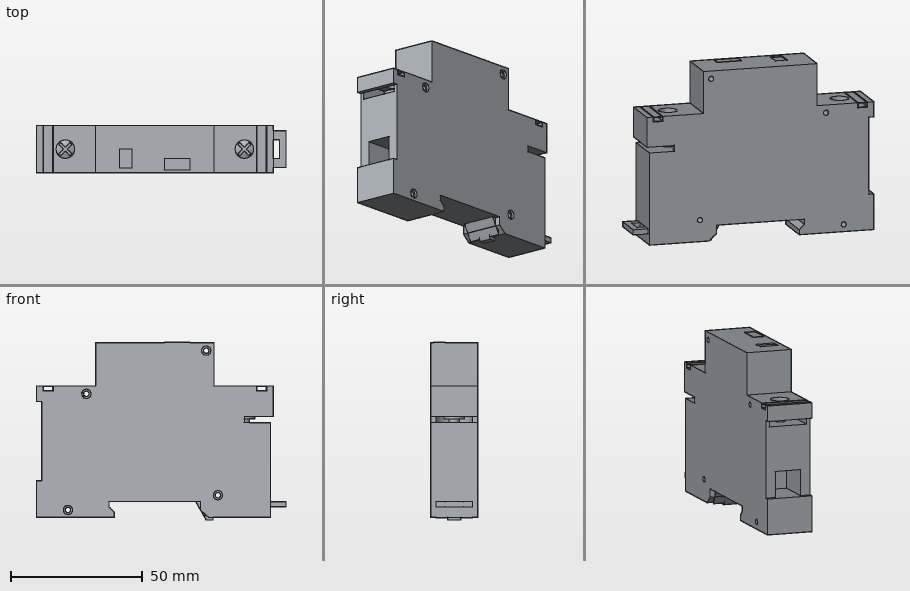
import cadquery as cq


WIDTH = 18.0
SHOULDER_LENGTH = 90.0
BASE_LENGTH = 89.0
SHOULDER_HEIGHT = 50.0
TOP_HEIGHT = 66.4
BLOCK_START = 22.5
BLOCK_END = SHOULDER_LENGTH - BLOCK_START
FACE_SETBACK = 2.0
OVERHANG_HEIGHT = 44.0
FOOT_HEIGHT = 13.9

RAIL_DEPTH = 6.0
RAIL_LEFT = 27.6
RAIL_RIGHT = 62.3
HOOK_REACH = 2.0
HOOK_LIP = 2.0
HOOK_TOP = 4.0
RELIEF_END = 65.5
RELIEF_HEIGHT = 2.75

LEFT_SCREW_X = 11.0
RIGHT_SCREW_X = SHOULDER_LENGTH - LEFT_SCREW_X
SCREW_HOLE_DIAMETER = 7.0
LEFT_CAVITY_FLOOR = 41.5
LEFT_CAVITY_ROOF = 47.5
LEFT_CAVITY_END = 17.8
LEFT_CAVITY_WIDTH = 15.2
NOTCH_FLOOR = 36.0
NOTCH_ROOF = 38.3
RIGHT_CAVITY_DIAMETER = 14.0
RIGHT_CAVITY_ROOF = 46.5
CABLE_POCKET_SIDE = 10.1
CABLE_POCKET_DEPTH = 15.0

HEAD_DIAMETER = 8.0
HEAD_SPHERE_RADIUS = 7.0
SHANK_DIAMETER = 4.0
SHANK_LENGTH = 1.4
HEAD_HEIGHT = 3.0
DRIVE_LENGTH = 6.0
DRIVE_WIDTH = 1.0
DRIVE_DEPTH = 1.5
DRIVE_ANGLES = (45, 135)
SCREW_SEATS = [(LEFT_SCREW_X, LEFT_CAVITY_FLOOR), (RIGHT_SCREW_X, NOTCH_FLOOR)]

TUNNEL_INSET = 2.5
MOUTH_WIDTH = 4.0
MOUTH_HEIGHT = 2.0
TUNNEL_WALL = 0.3
REBATE_DEPTH = 0.1
GROOVE_DEPTH = 0.1
TUNNEL_STARTS = (TUNNEL_INSET, SHOULDER_LENGTH - TUNNEL_INSET - MOUTH_WIDTH)

RIVET_DIAMETER = 2.0
RIVET_SEAT_DIAMETER = 3.5
RIVET_SEAT_DEPTH = 1.0
RIVET_POINTS = [(11.95, 2.8), (69.0, 8.4), (19.0, 47.0), (64.5, 63.4)]

WINDOW_START = 31.6
WINDOW_LENGTH = 4.7
WINDOW_WIDTH = 7.2
WINDOW_CENTRE_Y = -3.5
WINDOW_DEPTH = 0.5
INDICATOR_START = 48.8
INDICATOR_LENGTH = 9.7
INDICATOR_WIDTH = 4.4
INDICATOR_CENTRE_Y = -5.7
INDICATOR_HEIGHT = 0.2

CLIP_WIDTH = 14.0
CLIP_START = 60.5
CLIP_END = 94.9
CLIP_THICKNESS = 2.0
CLIP_EYE_WIDTH = 7.0
CLIP_EYE_END = 92.3
TOOTH_WIDTH = 5.0
TOOTH_END = 67.2
TOOTH_BOTTOM = -1.0
TOOTH_TIP = 64.5
WEDGE_BOTTOM = -0.3


def box(x0, x1, y_width, z0, z1, y_centre=0.0):
    """Box from x0 to x1 and z0 to z1, centred on y_centre."""
    block = cq.Workplane("XY").box(x1 - x0, y_width, z1 - z0, centered=(False, True, False))
    return block.translate((x0, y_centre, z0))


def cylinder(x, diameter, z0, z1):
    """Upright cylinder on the mid-plane."""
    return cq.Workplane("XY", origin=(x, 0, z0)).circle(diameter / 2).extrude(z1 - z0)


def prism(points, y_width):
    """XZ outline extruded symmetrically about the mid-plane."""
    return cq.Workplane("XZ").polyline(points).close().extrude(y_width / 2, both=True)


def make_housing_blank():
    """Side profile with the rail slot, the cable notch and the raised middle block."""
    return prism(
        [
            (0, 0),
            (RAIL_LEFT + HOOK_REACH, 0),
            (RAIL_LEFT + HOOK_REACH, HOOK_LIP),
            (RAIL_LEFT, HOOK_TOP),
            (RAIL_LEFT, RAIL_DEPTH),
            (RAIL_RIGHT, RAIL_DEPTH),
            (RAIL_RIGHT, RELIEF_HEIGHT),
            (RELIEF_END, 0),
            (BASE_LENGTH, 0),
            (BASE_LENGTH, NOTCH_FLOOR),
            (RIGHT_SCREW_X, NOTCH_FLOOR),
            (RIGHT_SCREW_X, NOTCH_ROOF),
            (SHOULDER_LENGTH, NOTCH_ROOF),
            (SHOULDER_LENGTH, SHOULDER_HEIGHT),
            (BLOCK_END, SHOULDER_HEIGHT),
            (BLOCK_END, TOP_HEIGHT),
            (BLOCK_START, TOP_HEIGHT),
            (BLOCK_START, SHOULDER_HEIGHT),
            (0, SHOULDER_HEIGHT),
            (0, OVERHANG_HEIGHT),
            (FACE_SETBACK, OVERHANG_HEIGHT),
            (FACE_SETBACK, FOOT_HEIGHT),
            (0, FOOT_HEIGHT),
        ],
        WIDTH,
    )


def cut_terminals(housing):
    """Screw holes, the cavities they open into and the cable pocket below the left one."""
    housing = housing.cut(
        box(FACE_SETBACK, LEFT_CAVITY_END, LEFT_CAVITY_WIDTH, LEFT_CAVITY_FLOOR, LEFT_CAVITY_ROOF)
    )
    housing = housing.cut(cylinder(RIGHT_SCREW_X, RIGHT_CAVITY_DIAMETER, NOTCH_FLOOR, RIGHT_CAVITY_ROOF))
    housing = housing.cut(cylinder(LEFT_SCREW_X, SCREW_HOLE_DIAMETER, LEFT_CAVITY_ROOF, SHOULDER_HEIGHT))
    housing = housing.cut(cylinder(RIGHT_SCREW_X, SCREW_HOLE_DIAMETER, RIGHT_CAVITY_ROOF, SHOULDER_HEIGHT))
    pocket = box(
        FACE_SETBACK,
        FACE_SETBACK + CABLE_POCKET_DEPTH,
        CABLE_POCKET_SIDE,
        FOOT_HEIGHT,
        FOOT_HEIGHT + CABLE_POCKET_SIDE,
    )
    return housing.cut(pocket)


def cut_label_tunnel(housing, start):
    """Thin-roofed tunnel across the shoulder, with edge grooves and rebated mouths."""
    end = start + MOUTH_WIDTH
    floor = SHOULDER_HEIGHT - MOUTH_HEIGHT
    bore = box(
        start + TUNNEL_WALL, end - TUNNEL_WALL, WIDTH, floor + TUNNEL_WALL, SHOULDER_HEIGHT - TUNNEL_WALL
    )
    housing = housing.cut(bore)
    for edge in (start, end - TUNNEL_WALL):
        groove = box(edge, edge + TUNNEL_WALL, WIDTH, SHOULDER_HEIGHT - GROOVE_DEPTH, SHOULDER_HEIGHT)
        housing = housing.cut(groove)
    for side in (-1, 1):
        rebate = box(
            start, end, REBATE_DEPTH, floor, SHOULDER_HEIGHT, side * (WIDTH - REBATE_DEPTH) / 2
        )
        housing = housing.cut(rebate)
    return housing


def cut_rivet_holes(housing):
    """Through holes with a counterbore on the -Y side."""
    front = cq.Workplane("XZ", origin=(0, -WIDTH / 2, 0)).pushPoints(RIVET_POINTS)
    housing = housing.cut(front.circle(RIVET_DIAMETER / 2).extrude(-WIDTH))
    return housing.cut(front.circle(RIVET_SEAT_DIAMETER / 2).extrude(-RIVET_SEAT_DEPTH))


def make_clip_blank():
    """Sliding plate with a sloped wedge and narrow tooth at one end, before its eye is cut."""
    plate_bottom = RAIL_DEPTH - CLIP_THICKNESS
    slope = (TOOTH_TIP - CLIP_START) / (RAIL_DEPTH - TOOTH_BOTTOM)
    wedge_end = CLIP_START + slope * (RAIL_DEPTH - WEDGE_BOTTOM)
    plate_start = CLIP_START + slope * CLIP_THICKNESS
    plate = prism(
        [
            (CLIP_START, RAIL_DEPTH),
            (plate_start, plate_bottom),
            (CLIP_END, plate_bottom),
            (CLIP_END, RAIL_DEPTH),
        ],
        CLIP_WIDTH,
    )
    wedge = prism(
        [(CLIP_START, RAIL_DEPTH), (wedge_end, WEDGE_BOTTOM), (wedge_end, RAIL_DEPTH)], CLIP_WIDTH
    )
    tooth = prism(
        [
            (CLIP_START, RAIL_DEPTH),
            (TOOTH_TIP, TOOTH_BOTTOM),
            (TOOTH_END, TOOTH_BOTTOM),
            (TOOTH_END, RAIL_DEPTH),
        ],
        TOOTH_WIDTH,
    )
    return plate.union(wedge).union(tooth)


def make_screw(x, seat):
    """Domed cross-drive screw standing on its short shank."""
    head_bottom = seat + SHANK_LENGTH
    apex = head_bottom + HEAD_HEIGHT
    head = cylinder(x, HEAD_DIAMETER, head_bottom, apex)
    dome = cq.Workplane("XY", origin=(x, 0, apex - HEAD_SPHERE_RADIUS)).sphere(HEAD_SPHERE_RADIUS)
    screw = head.intersect(dome).union(cylinder(x, SHANK_DIAMETER, seat, head_bottom))
    for angle in DRIVE_ANGLES:
        slot = cq.Workplane("XY").box(DRIVE_LENGTH, DRIVE_WIDTH, 2 * DRIVE_DEPTH)
        slot = slot.rotate((0, 0, 0), (0, 0, 1), angle).translate((x, 0, apex))
        screw = screw.cut(slot)
    return screw


def cut_window(housing):
    """Shallow window in the top face."""
    window = box(
        WINDOW_START,
        WINDOW_START + WINDOW_LENGTH,
        WINDOW_WIDTH,
        TOP_HEIGHT - WINDOW_DEPTH,
        TOP_HEIGHT,
        WINDOW_CENTRE_Y,
    )
    return housing.cut(window)


def make_housing(clip_blank):
    """Complete housing, with a recess that fits the clip."""
    housing = cut_rivet_holes(cut_terminals(make_housing_blank()))
    for tunnel_start in TUNNEL_STARTS:
        housing = cut_label_tunnel(housing, tunnel_start)
    return cut_window(housing).cut(clip_blank)


def cut_clip_eye(clip_blank):
    """Pull eye in the end of the clip that stands out of the housing."""
    return clip_blank.cut(box(BASE_LENGTH, CLIP_EYE_END, CLIP_EYE_WIDTH, 0, RAIL_DEPTH))


def make_indicator():
    """Thin plate lying on the top face."""
    return box(
        INDICATOR_START,
        INDICATOR_START + INDICATOR_LENGTH,
        INDICATOR_WIDTH,
        TOP_HEIGHT,
        TOP_HEIGHT + INDICATOR_HEIGHT,
        INDICATOR_CENTRE_Y,
    )


clip_blank = make_clip_blank()
housing = make_housing(clip_blank)
clip = cut_clip_eye(clip_blank)
screws = [make_screw(x, seat) for x, seat in SCREW_SEATS]
indicator = make_indicator()

result = cq.Compound.makeCompound(
    [housing.val(), clip.val(), *[screw.val() for screw in screws], indicator.val()]
)